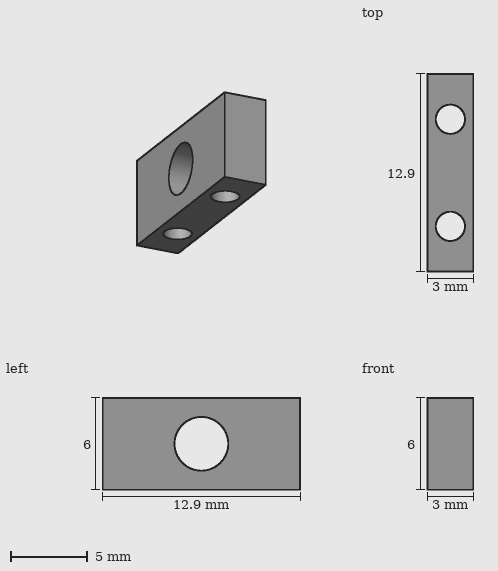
import cadquery as cq

thickness = 3.0
length = 12.9
height = 6.0

cross_hole_diameter = 3.5
screw_hole_diameter = 1.9
screw_hole_spacing = 6.99

block = cq.Workplane("XY").box(thickness, length, height)

block = block.faces("<X").workplane(origin=(0, 0, 0)).hole(cross_hole_diameter)

screw_hole_centres = [(0, -screw_hole_spacing / 2), (0, screw_hole_spacing / 2)]
result = (
    block.faces(">Z")
    .workplane(origin=(0, 0, 0))
    .pushPoints(screw_hole_centres)
    .hole(screw_hole_diameter)
)